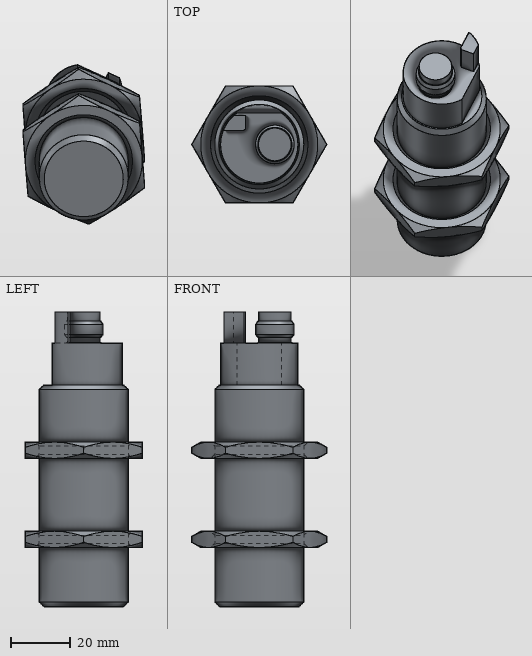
import cadquery as cq
import math

TOTAL_HEIGHT = 99.3

SLEEVE_RADIUS = 15.0
SLEEVE_HEIGHT = 74.7
TOP_CHAMFER = 1.5
BOTTOM_CHAMFER = 1.7

CAP_RADIUS = 13.0
CAP_TOP = 88.8
CAP_FLAT_Y = 10.65

KEY_LEFT_X = -11.9
KEY_RIGHT_X = -4.55
KEY_FRONT_Y = 4.7
KEY_BACK_Y = 9.7
KEY_CORNER_CHAMFER = 0.65

PLUG_X = 5.25
PLUG_RADIUS = 5.5
PLUG_FOOT_RADIUS = 5.75
PLUG_FOOT_HEIGHT = 0.3
COLLAR_RADIUS = 6.5
COLLAR_SHOULDER_RADIUS = 5.75
COLLAR_BEVEL_HEIGHT_LOWER = 1.0
COLLAR_BEVEL_HEIGHT_UPPER = 1.2
COLLAR_ABOVE_CAP = 1.95
COLLAR_BELOW_TIP = 3.05
COLLAR_BOTTOM = CAP_TOP + COLLAR_ABOVE_CAP
COLLAR_TOP = TOTAL_HEIGHT - COLLAR_BELOW_TIP

NUT_ACROSS_FLATS = 39.41
NUT_ACROSS_CORNERS = NUT_ACROSS_FLATS / math.cos(math.pi / 6)
NUT_THICKNESS = 5.5
NUT_BEVEL_ANGLE = math.radians(30)
NUT_BORE_CHAMFER = 1.4
NUT_BOTTOMS = (20.0, 50.0)


def make_sleeve():
    sleeve = cq.Workplane("XY").circle(SLEEVE_RADIUS).extrude(SLEEVE_HEIGHT)
    sleeve = sleeve.faces(">Z").chamfer(TOP_CHAMFER)
    return sleeve.faces("<Z").chamfer(BOTTOM_CHAMFER)


def make_cap():
    """Cylinder standing on the sleeve, cut off flat on the +Y side."""
    height = CAP_TOP - SLEEVE_HEIGHT
    cap = cq.Workplane("XY", origin=(0, 0, SLEEVE_HEIGHT)).circle(CAP_RADIUS).extrude(height)
    kept_depth = CAP_RADIUS + CAP_FLAT_Y
    kept = (
        cq.Workplane("XY", origin=(0, CAP_FLAT_Y - kept_depth / 2, SLEEVE_HEIGHT))
        .rect(2 * CAP_RADIUS, kept_depth)
        .extrude(height)
    )
    return cap.intersect(kept)


def make_key():
    """Upright key that follows the cap's cylinder and ends in a narrow flat at the front left."""
    back_x = -math.sqrt(CAP_RADIUS**2 - KEY_BACK_Y**2)
    flat_end_y = math.sqrt(CAP_RADIUS**2 - KEY_LEFT_X**2)
    middle_angle = (math.atan2(KEY_BACK_Y, back_x) + math.atan2(flat_end_y, KEY_LEFT_X)) / 2
    arc_middle = (CAP_RADIUS * math.cos(middle_angle), CAP_RADIUS * math.sin(middle_angle))
    return (
        cq.Workplane("XY", origin=(0, 0, CAP_TOP))
        .moveTo(KEY_LEFT_X, KEY_FRONT_Y)
        .lineTo(KEY_RIGHT_X - KEY_CORNER_CHAMFER, KEY_FRONT_Y)
        .lineTo(KEY_RIGHT_X, KEY_FRONT_Y + KEY_CORNER_CHAMFER)
        .lineTo(KEY_RIGHT_X, KEY_BACK_Y)
        .lineTo(back_x, KEY_BACK_Y)
        .threePointArc(arc_middle, (KEY_LEFT_X, flat_end_y))
        .close()
        .extrude(TOTAL_HEIGHT - CAP_TOP)
    )


def make_plug():
    """Round plug with a small foot and a bevelled collar, turned about its own axis."""
    foot_top = CAP_TOP + PLUG_FOOT_HEIGHT
    profile = [
        (0, CAP_TOP),
        (PLUG_FOOT_RADIUS, CAP_TOP),
        (PLUG_FOOT_RADIUS, foot_top),
        (PLUG_RADIUS, foot_top),
        (PLUG_RADIUS, COLLAR_BOTTOM),
        (COLLAR_SHOULDER_RADIUS, COLLAR_BOTTOM),
        (COLLAR_RADIUS, COLLAR_BOTTOM + COLLAR_BEVEL_HEIGHT_LOWER),
        (COLLAR_RADIUS, COLLAR_TOP - COLLAR_BEVEL_HEIGHT_UPPER),
        (COLLAR_SHOULDER_RADIUS, COLLAR_TOP),
        (PLUG_RADIUS, COLLAR_TOP),
        (PLUG_RADIUS, TOTAL_HEIGHT),
        (0, TOTAL_HEIGHT),
    ]
    plug = cq.Workplane("XZ").polyline(profile).close().revolve(360, (0, 0), (0, 1))
    return plug.translate((PLUG_X, 0, 0))


def make_sensor():
    return make_sleeve().union(make_cap()).union(make_key()).union(make_plug())


def make_nut(bottom):
    """Hexagon nut with corners bevelled on both faces and a chamfered bore."""
    hexagon = cq.Workplane("XY").polygon(6, NUT_ACROSS_CORNERS).extrude(NUT_THICKNESS)

    face_radius = NUT_ACROSS_FLATS / 2
    corner_radius = NUT_ACROSS_CORNERS / 2
    bevel_height = (corner_radius - face_radius) * math.tan(NUT_BEVEL_ANGLE)
    turned_profile = [
        (SLEEVE_RADIUS + NUT_BORE_CHAMFER, 0),
        (face_radius, 0),
        (corner_radius, bevel_height),
        (corner_radius, NUT_THICKNESS - bevel_height),
        (face_radius, NUT_THICKNESS),
        (SLEEVE_RADIUS + NUT_BORE_CHAMFER, NUT_THICKNESS),
        (SLEEVE_RADIUS, NUT_THICKNESS - NUT_BORE_CHAMFER),
        (SLEEVE_RADIUS, NUT_BORE_CHAMFER),
    ]
    turned = cq.Workplane("XZ").polyline(turned_profile).close().revolve(360, (0, 0), (0, 1))
    return hexagon.intersect(turned).translate((0, 0, bottom))


sensor = make_sensor()
nuts = [make_nut(bottom) for bottom in NUT_BOTTOMS]

result = cq.Compound.makeCompound([sensor.val(), *[nut.val() for nut in nuts]])